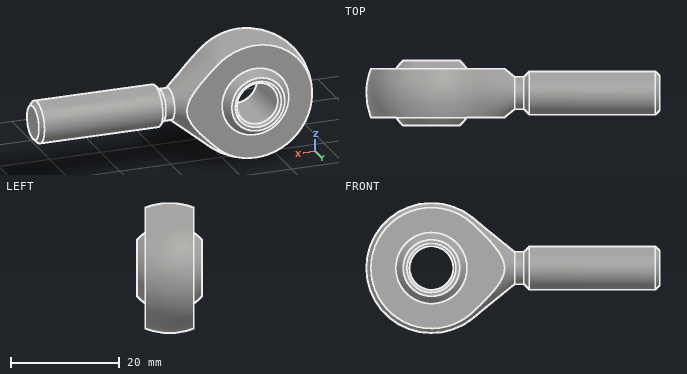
import cadquery as cq
import math

head_radius = 12.0
head_width = 9.0
ball_radius = 15.875 / 2
ball_width = 12.0
bore_diameter = 8.0
bore_chamfer = 0.5

neck_radius = 3.0
neck_end_x = 17.0
shank_radius = 4.0
shank_end_x = 42.0
shank_tip_chamfer = 0.8

cone_start_x = 7.6
cone_angle = math.acos(cone_start_x / head_radius)
cone_start_radius = head_radius * math.sin(cone_angle)
neck_start_x = (head_radius - neck_radius * math.sin(cone_angle)) / math.cos(cone_angle)
shank_start_x = neck_end_x + shank_radius - neck_radius


def make_body():
    """Revolve the head, cone, neck and shank about X, then flatten the head sides."""
    body = (
        cq.Workplane("XY")
        .moveTo(-head_radius, 0)
        .threePointArc((0, head_radius), (cone_start_x, cone_start_radius))
        .lineTo(neck_start_x, neck_radius)
        .lineTo(neck_end_x, neck_radius)
        .lineTo(shank_start_x, shank_radius)
        .lineTo(shank_end_x - shank_tip_chamfer, shank_radius)
        .lineTo(shank_end_x, shank_radius - shank_tip_chamfer)
        .lineTo(shank_end_x, 0)
        .close()
        .revolve(360, (0, 0, 0), (1, 0, 0))
    )
    slab_size = 2 * (shank_end_x + head_radius)
    slab = cq.Workplane("XY").box(slab_size, head_width, slab_size)
    return body.intersect(slab)


def make_ball():
    """Sphere cut flat on both sides, standing proud of the head."""
    slab_size = 4 * ball_radius
    slab = cq.Workplane("XY").box(slab_size, ball_width, slab_size)
    return cq.Workplane("XY").sphere(ball_radius).intersect(slab)


def make_bore():
    """Through bore along Y, widened by a chamfer at each face of the ball."""
    half_width = ball_width / 2
    bore_radius = bore_diameter / 2
    mouth_radius = bore_radius + bore_chamfer
    return (
        cq.Workplane("XY")
        .moveTo(0, -half_width)
        .lineTo(mouth_radius, -half_width)
        .lineTo(bore_radius, -half_width + bore_chamfer)
        .lineTo(bore_radius, half_width - bore_chamfer)
        .lineTo(mouth_radius, half_width)
        .lineTo(0, half_width)
        .close()
        .revolve(360, (0, 0, 0), (0, 1, 0))
    )


result = make_body().union(make_ball()).cut(make_bore())